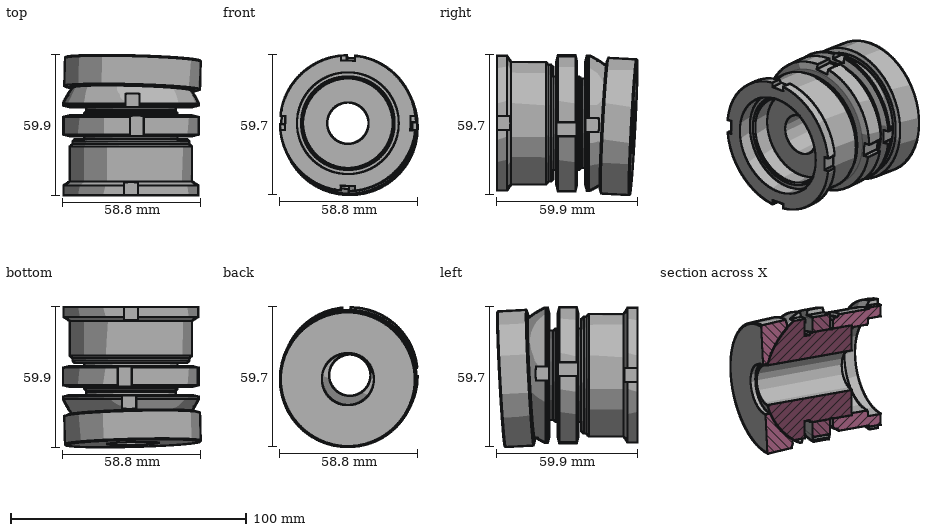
import cadquery as cq
import math


OUTER_RADIUS = 29.0
THREAD_RADIUS = 19.95
NECK_RADIUS = 19.05
THREAD_CHAMFER = THREAD_RADIUS - NECK_RADIUS
RIM_CHAMFER_WIDTH = 3.1
RIM_CHAMFER_HEIGHT = 0.8
RIM_RADIUS = OUTER_RADIUS - RIM_CHAMFER_WIDTH

SLOT_WIDTH = 6.0
SLOT_COUNT = 4
SLOT_FLOOR = 26.65
CUT_MARGIN = 0.6

FLANGE_RADIUS = 28.85
FLANGE_THICKNESS = 4.25
FLANGE_CONE_END = 6.0
BARREL_RADIUS = 26.1
BARREL_END = 21.85
COLLAR_RADIUS = 24.9
HOUSING_LENGTH = 24.0
HOUSING_CHAMFER = 1.1
ENTRY_RADIUS = 21.7
ENTRY_DEPTH = 6.35
BORE_CHAMFER_DEPTH = 0.55
HOUSING_TURN = 0

RING_START = 25.15
RING_THICKNESS = 9.0
RING_TURN = 5.3

SCREW_START = 14.5
SHANK_END = 35.75
RELIEF_END = 36.3
UNDERHEAD_RADIUS = 19.1
HEAD_START = 37.5
HEAD_RECESS_RADIUS = 25.0
HEAD_RECESS_DEPTH = 0.3
HEAD_CYLINDER_END = 39.2
SCREW_HOLE_RADIUS = 8.75
SCREW_TURN = 1.5
BALL_CENTRE = 26.1
BALL_RADIUS = math.hypot(OUTER_RADIUS, HEAD_CYLINDER_END - BALL_CENTRE)

CAP_FRONT = 19.15
CAP_BACK = 32.1
CAP_FRONT_CHAMFER_WIDTH = 2.0
CAP_FRONT_CHAMFER_HEIGHT = 0.65
CAP_BACK_CHAMFER = 0.5
CAP_HOLE_RADIUS = 11.1
CAP_TILT_DOWN = 3.1
CAP_TILT_SIDE = 1.5


def turned(profile):
    """Revolve a closed (radius, Y) profile about the Y axis."""
    return profile.close().revolve(360, (0, 0, 0), (0, 1, 0))


def ball_height(radius):
    """Distance from the ball centre to the ball surface at a given radius."""
    return math.sqrt(BALL_RADIUS**2 - radius**2)


def ball_radius_at(height):
    """Radius of the ball at a given distance from its centre."""
    return math.sqrt(BALL_RADIUS**2 - height**2)


def ball_point_between(height_a, height_b):
    """Point (radius, height) on the ball halfway between two heights."""
    height = (height_a + height_b) / 2
    return ball_radius_at(height), height


def cut_slots(body, start, end, turn):
    """Cut equally spaced flat-bottomed slots into the rim from start to end along Y."""
    depth = OUTER_RADIUS - SLOT_FLOOR + CUT_MARGIN
    for index in range(SLOT_COUNT):
        slot = (
            cq.Workplane("XY")
            .box(SLOT_WIDTH, end - start, depth, centered=(True, False, False))
            .translate((0, start, SLOT_FLOOR))
            .rotate((0, 0, 0), (0, 1, 0), turn + index * 360 / SLOT_COUNT)
        )
        body = body.cut(slot)
    return body


def make_housing():
    profile = (
        cq.Workplane("XY")
        .moveTo(ENTRY_RADIUS, 0)
        .lineTo(FLANGE_RADIUS, 0)
        .lineTo(FLANGE_RADIUS, FLANGE_THICKNESS)
        .lineTo(BARREL_RADIUS, FLANGE_CONE_END)
        .lineTo(BARREL_RADIUS, BARREL_END - HOUSING_CHAMFER)
        .lineTo(COLLAR_RADIUS, BARREL_END)
        .lineTo(COLLAR_RADIUS, HOUSING_LENGTH - HOUSING_CHAMFER)
        .lineTo(COLLAR_RADIUS - HOUSING_CHAMFER, HOUSING_LENGTH)
        .lineTo(THREAD_RADIUS, HOUSING_LENGTH)
        .lineTo(THREAD_RADIUS, SCREW_START)
        .lineTo(NECK_RADIUS, SCREW_START)
        .lineTo(NECK_RADIUS, ENTRY_DEPTH + BORE_CHAMFER_DEPTH)
        .lineTo(THREAD_RADIUS, ENTRY_DEPTH)
        .lineTo(ENTRY_RADIUS, ENTRY_DEPTH)
    )
    return cut_slots(turned(profile), 0, FLANGE_CONE_END, HOUSING_TURN)


def make_lock_ring():
    end = RING_START + RING_THICKNESS
    profile = (
        cq.Workplane("XY")
        .moveTo(THREAD_RADIUS, RING_START)
        .lineTo(RIM_RADIUS, RING_START)
        .lineTo(OUTER_RADIUS, RING_START + RIM_CHAMFER_HEIGHT)
        .lineTo(OUTER_RADIUS, end - RIM_CHAMFER_HEIGHT)
        .lineTo(RIM_RADIUS, end)
        .lineTo(THREAD_RADIUS, end)
    )
    return cut_slots(turned(profile), RING_START, end, RING_TURN)


def make_screw():
    ball_start = HEAD_CYLINDER_END - BALL_CENTRE
    ball_end = ball_height(SCREW_HOLE_RADIUS)
    middle_radius, middle_height = ball_point_between(ball_start, ball_end)
    profile = (
        cq.Workplane("XY")
        .moveTo(SCREW_HOLE_RADIUS, SCREW_START)
        .lineTo(THREAD_RADIUS, SCREW_START)
        .lineTo(THREAD_RADIUS, SHANK_END - THREAD_CHAMFER)
        .lineTo(NECK_RADIUS, SHANK_END)
        .lineTo(NECK_RADIUS, RELIEF_END)
        .lineTo(UNDERHEAD_RADIUS, RELIEF_END)
        .lineTo(UNDERHEAD_RADIUS, HEAD_START + HEAD_RECESS_DEPTH)
        .lineTo(HEAD_RECESS_RADIUS, HEAD_START + HEAD_RECESS_DEPTH)
        .lineTo(HEAD_RECESS_RADIUS, HEAD_START)
        .lineTo(RIM_RADIUS, HEAD_START)
        .lineTo(OUTER_RADIUS, HEAD_START + RIM_CHAMFER_HEIGHT)
        .lineTo(OUTER_RADIUS, HEAD_CYLINDER_END)
        .threePointArc(
            (middle_radius, BALL_CENTRE + middle_height),
            (SCREW_HOLE_RADIUS, BALL_CENTRE + ball_end),
        )
    )
    slot_end = BALL_CENTRE + ball_height(SLOT_FLOOR) + CUT_MARGIN
    return cut_slots(turned(profile), HEAD_START, slot_end, SCREW_TURN)


def make_cap():
    """Cap with a hollow seat that fits the ball, tilted about the ball centre."""
    seat_end = ball_height(CAP_HOLE_RADIUS)
    profile = (
        cq.Workplane("XY")
        .moveTo(ball_radius_at(CAP_FRONT), CAP_FRONT)
        .lineTo(OUTER_RADIUS - CAP_FRONT_CHAMFER_WIDTH, CAP_FRONT)
        .lineTo(OUTER_RADIUS, CAP_FRONT + CAP_FRONT_CHAMFER_HEIGHT)
        .lineTo(OUTER_RADIUS, CAP_BACK - CAP_BACK_CHAMFER)
        .lineTo(OUTER_RADIUS - CAP_BACK_CHAMFER, CAP_BACK)
        .lineTo(CAP_HOLE_RADIUS, CAP_BACK)
        .lineTo(CAP_HOLE_RADIUS, seat_end)
        .threePointArc(
            ball_point_between(CAP_FRONT, seat_end),
            (ball_radius_at(CAP_FRONT), CAP_FRONT),
        )
    )
    return (
        turned(profile)
        .rotate((0, 0, 0), (1, 0, 0), -CAP_TILT_DOWN)
        .rotate((0, 0, 0), (0, 0, 1), -CAP_TILT_SIDE)
        .translate((0, BALL_CENTRE, 0))
    )


housing = make_housing()
lock_ring = make_lock_ring()
screw = make_screw()
cap = make_cap()

result = cq.Compound.makeCompound([housing.val(), lock_ring.val(), screw.val(), cap.val()])